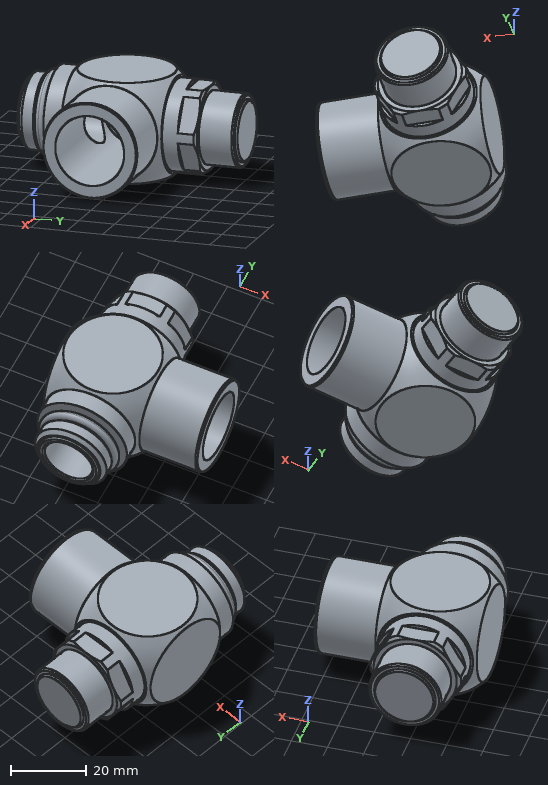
import cadquery as cq
import math

block_size = 28.0
half_block = block_size / 2
face_radius = 13.2
sphere_radius = math.hypot(half_block, face_radius)

branch_radius = 13.15
branch_end = 31.0
branch_edge_length = 0.55
branch_edge_depth = 0.25
branch_bore_radius = 9.65
branch_bore_bottom = -8.6

shank_end = 33.6
collar_radius = 12.55
collar_end = 23.4
hex_start = 18.4
hex_across_flats = 23.0
collar_chamfer = 0.55
shank_radius = 9.95
shank_chamfer = 0.5
rim_height = 0.6
rim_radius = 8.5
rim_chamfer = 0.4

flange_radius = 13.15
flange_end = 19.0
neck_radius = 9.15
nose_radius = 10.5
nose_start = 22.8
nose_chamfer_start = 26.0
nose_shoulder = 27.2
nose_end = 27.85
lip_radius = 8.85
lip_tip_radius = 8.35
port_radius = 7.0
port_chamfer = 0.5
seal_position = 20.95
seal_major_radius = 10.4
seal_minor_radius = 1.3


def revolve_about_y(profile):
    """Revolve (radius, y) points about the Y axis, closing along the axis."""
    first_y = profile[0][1]
    last_y = profile[-1][1]
    outline = [(0, first_y)] + profile + [(0, last_y)]
    return cq.Workplane("XY").polyline(outline).close().revolve(360, (0, 0), (0, 1))


def make_block():
    cube = cq.Workplane("XY").box(block_size, block_size, block_size)
    return cube.intersect(cq.Workplane("XY").sphere(sphere_radius))


def make_branch():
    return (
        cq.Workplane("YZ")
        .circle(branch_radius)
        .extrude(branch_end)
        .faces(">X")
        .chamfer(branch_edge_length, branch_edge_depth)
    )


def make_collar():
    half_flats = hex_across_flats / 2
    collar = revolve_about_y([
        (collar_radius, 0),
        (collar_radius, collar_end - collar_chamfer),
        (half_flats, collar_end),
    ])
    hexagon = (
        cq.Workplane("XZ", origin=(0, hex_start, 0))
        .polygon(6, hex_across_flats / math.cos(math.pi / 6))
        .extrude(hex_start - collar_end)
    )
    round_part = cq.Workplane("XZ").circle(collar_radius).extrude(-hex_start)
    return collar.intersect(hexagon.union(round_part))


def make_shank():
    shoulder = shank_end - rim_height
    return revolve_about_y([
        (shank_radius, 0),
        (shank_radius, shoulder - shank_chamfer),
        (shank_radius - shank_chamfer, shoulder),
        (rim_radius, shoulder),
        (rim_radius - rim_chamfer, shank_end),
    ])


def make_nose():
    groove_cone_start = nose_start - (nose_radius - neck_radius)
    shoulder_radius = nose_radius - (nose_shoulder - nose_chamfer_start)
    return revolve_about_y([
        (flange_radius, 0),
        (flange_radius, -flange_end),
        (neck_radius, -flange_end),
        (neck_radius, -groove_cone_start),
        (nose_radius, -nose_start),
        (nose_radius, -nose_chamfer_start),
        (shoulder_radius, -nose_shoulder),
        (lip_radius, -nose_shoulder),
        (lip_tip_radius, -nose_end),
    ])


def make_seal():
    return (
        cq.Workplane("XY")
        .center(seal_major_radius, -seal_position)
        .circle(seal_minor_radius)
        .revolve(360, (-seal_major_radius, 0), (-seal_major_radius, 1))
    )


def make_bores():
    port = revolve_about_y([
        (port_radius, 0),
        (port_radius, port_chamfer - nose_end),
        (port_radius + port_chamfer, -nose_end),
    ])
    branch_bore = (
        cq.Workplane("YZ", origin=(branch_bore_bottom, 0, 0))
        .circle(branch_bore_radius)
        .extrude(branch_end - branch_bore_bottom)
    )
    return port.union(branch_bore)


result = (
    make_block()
    .union(make_branch())
    .union(make_collar())
    .union(make_shank())
    .union(make_nose())
    .union(make_seal())
    .cut(make_bores())
)